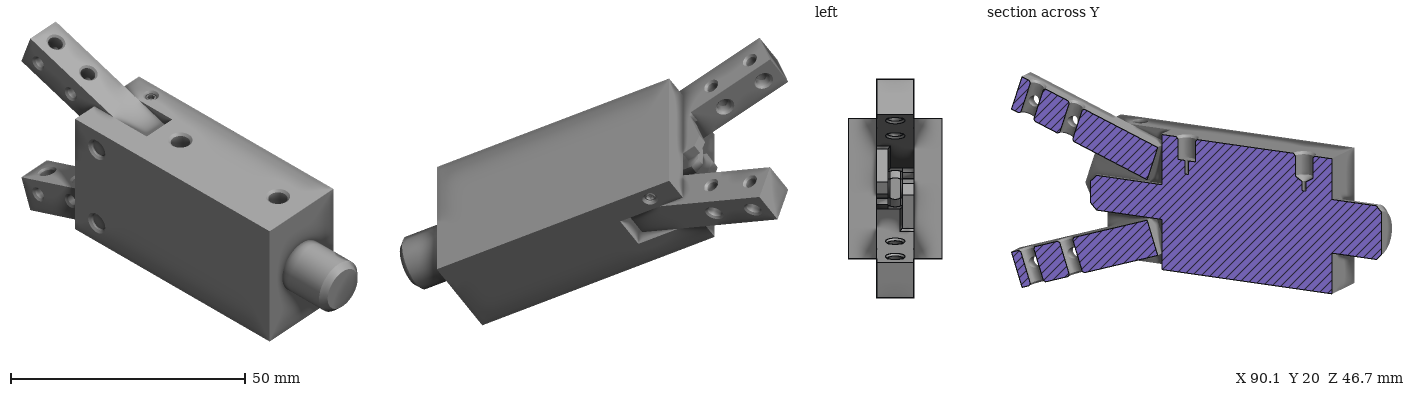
import cadquery as cq
import math

overall_length = 90.11
body_width = 20.0
body_height = 30.0
stem_length = 12.0

opening_angle = 19.0
finger_width = 8.0
finger_reach = 28.0
finger_outer = 4.5
finger_inner = 3.5
heel = 7.0
pivot_x = 6.3
pivot_z = 10.0
tab_tip = 13.5
tab_chamfer = 2.0
tab_gap = 1.5
tab_root_chamfer = 0.5
grip_hole_count = 2
grip_hole_spacing = 10.0
grip_hole_edge = 4.0

m3_core, m3_mouth = 2.46, 3.4
m4_core, m4_mouth = 3.24, 4.13
m5_core, m5_mouth = 4.13, 5.2

angle = math.radians(opening_angle)
finger_front = finger_reach * math.cos(angle) + finger_inner * math.sin(angle) - pivot_x
body_length = overall_length - finger_front - stem_length
slot_depth = 15.3

rear_port_inset = 6.9
port_spacing = 28.5
rear_port_x = body_length - rear_port_inset
front_port_x = rear_port_x - port_spacing
port_depth = 5.0
drill_point_angle = 118.0
drill_cone_depth = m5_core / 2 / math.tan(math.radians(drill_point_angle / 2))
orifice_diameter = 0.8
orifice_depth = 8.0

pivot_pin_diameter = 4.0
pivot_pin_mouth = 5.0
pivot_pin_recess = 0.8
pivot_pin_chamfer = 0.25
pivot_pin_end = 2.0
lock_screw_y = 7.0
lock_screw_recess = 0.5
lock_screw_chamfer = 0.25
lock_screw_length = 3.0
hex_socket_flats = 1.5
hex_socket_depth = 1.0
socket_tip_depth = 0.5

rod_diameter = 7.8
rod_protrusion = 2.15
rod_shoulder_x = 13.0
rod_tip_chamfer = 1.6
tongue_thickness = 2.2
cross_pin_diameter = 4.0
cross_pin_offset = pivot_z / math.cos(angle)

stem_diameter = 12.0
stem_chamfer = 1.3


def countersunk_tool(core, mouth, depth, bottom_cone=0.0):
    """Cutter for a hole entering at the origin and running towards -Z, with a 45 degree mouth."""
    sink = (mouth - core) / 2
    profile = (
        cq.Workplane("XZ")
        .lineTo(mouth / 2, 0)
        .lineTo(core / 2, -sink)
        .lineTo(core / 2, -depth)
        .lineTo(0, -depth - bottom_cone)
        .close()
    )
    return profile.revolve(360, (0, 0, 0), (0, 1, 0))


def double_countersunk_tool(core, mouth, length):
    """Cutter for a through hole along Z, centred on the origin and countersunk at both ends."""
    half = countersunk_tool(core, mouth, length / 2).translate((0, 0, length / 2))
    return half.union(half.mirror("XY"))


def make_body():
    body = cq.Workplane("XY").box(body_length, body_width, body_height, centered=(False, True, True))
    slot = cq.Workplane("XY").box(slot_depth, finger_width, body_height, centered=(False, True, True))
    return body.cut(slot)


def make_stem():
    stem = cq.Workplane("YZ", origin=(body_length, 0, 0)).circle(stem_diameter / 2).extrude(stem_length)
    return stem.faces(">X").chamfer(stem_chamfer)


def cut_ports(body):
    """The front port has a flat bottom, the rear one a drill point; both open into an orifice."""
    for x, bottom_cone in ((front_port_x, 0.0), (rear_port_x, drill_cone_depth)):
        port = countersunk_tool(m5_core, m5_mouth, port_depth, bottom_cone)
        orifice = cq.Workplane("XY").circle(orifice_diameter / 2).extrude(-orifice_depth)
        body = body.cut(port.union(orifice).translate((x, 0, body_height / 2)))
    return body


def recessed_insert(body, core, mouth, recess, insert, place):
    """Countersink a hole and seat an insert in it; the insert is built with its top at the origin."""
    length = insert.val().BoundingBox().zlen
    hole = countersunk_tool(core, mouth, recess + length)
    return body.cut(place(hole)).union(place(insert.translate((0, 0, -recess))))


def add_pivot_pins(body):
    """Chamfered pin ends sit below the -Y face at both finger pivots."""
    pin_end = cq.Workplane("XY").circle(pivot_pin_diameter / 2).extrude(-pivot_pin_end)
    pin_end = pin_end.faces(">Z").chamfer(pivot_pin_chamfer)
    for z in (pivot_z, -pivot_z):
        body = recessed_insert(
            body, pivot_pin_diameter, pivot_pin_mouth, pivot_pin_recess, pin_end,
            lambda tool: tool.rotate((0, 0, 0), (1, 0, 0), 90).translate((pivot_x, -body_width / 2, z)),
        )
    return body


def add_lock_screws(body):
    """Hexagon socket set screws above and below the pivots clamp the pins."""
    socket_circle = hex_socket_flats / math.cos(math.pi / 6)
    socket = cq.Workplane("XY").polygon(6, socket_circle).extrude(-hex_socket_depth)
    socket_tip = cq.Solid.makeCone(hex_socket_flats / 2, 0, socket_tip_depth, dir=cq.Vector(0, 0, -1))
    socket = socket.union(cq.Workplane(socket_tip.translate(cq.Vector(0, 0, -hex_socket_depth))))
    screw = cq.Workplane("XY").circle(m3_core / 2).extrude(-lock_screw_length)
    screw = screw.faces(">Z").chamfer(lock_screw_chamfer).cut(socket)
    for flip in (0, 180):
        body = recessed_insert(
            body, m3_core, m3_mouth, lock_screw_recess, screw,
            lambda tool: tool.translate((0, 0, body_height / 2))
            .rotate((0, 0, 0), (1, 0, 0), flip)
            .translate((pivot_x, lock_screw_y, 0)),
        )
    return body


def make_tab():
    """Drive tab at the +Y side of a finger, forked around the cross pin."""
    outline = (
        cq.Workplane("XZ", origin=(0, finger_width / 2, 0))
        .moveTo(-heel, 0)
        .lineTo(-heel, tab_chamfer - tab_tip)
        .lineTo(tab_chamfer - heel, -tab_tip)
        .lineTo(heel - tab_chamfer, -tab_tip)
        .lineTo(heel, tab_chamfer - tab_tip)
        .lineTo(heel, 0)
        .close()
        .extrude(finger_width / 2 - tab_gap)
    )
    radius = cross_pin_diameter / 2
    fork = (
        cq.Workplane("XZ", origin=(0, finger_width / 2, 0))
        .moveTo(-radius, -tab_tip)
        .lineTo(-radius, -cross_pin_offset)
        .threePointArc((0, radius - cross_pin_offset), (radius, -cross_pin_offset))
        .lineTo(radius, -tab_tip)
        .close()
        .extrude(finger_width)
    )
    return outline.cut(fork)


def make_finger():
    """Closed finger in its local frame, before it swings open about the pivot."""
    height = finger_outer + finger_inner
    middle = (finger_outer - finger_inner) / 2
    bar = (
        cq.Workplane("XY")
        .box(finger_reach + heel, finger_width, height)
        .translate(((heel - finger_reach) / 2, 0, middle))
    )
    finger = bar.union(make_tab())
    margin = tab_gap / 2
    tab_root = cq.selectors.BoxSelector(
        (-heel - margin, tab_gap - margin, -finger_inner - margin),
        (heel - margin, finger_width / 2 - margin, -finger_inner + margin),
    )
    finger = finger.edges(tab_root).chamfer(tab_root_chamfer)
    across = double_countersunk_tool(m3_core, m3_mouth, finger_width).rotate((0, 0, 0), (1, 0, 0), 90)
    vertical = double_countersunk_tool(m4_core, m4_mouth, height).translate((0, 0, middle))
    for i in range(grip_hole_count):
        x = grip_hole_edge + i * grip_hole_spacing - finger_reach
        finger = finger.cut(across.translate((x, 0, 0))).cut(vertical.translate((x, 0, 0)))
    return finger


def make_opened_fingers():
    upper = make_finger().rotate((0, 0, 0), (0, 1, 0), opening_angle).translate((pivot_x, 0, pivot_z))
    lower = upper.rotate((0, 0, 0), (1, 0, 0), 180)
    return upper, lower


def make_piston_rod():
    """Round rod, chamfered at the tip and flattened to a tongue that carries the cross pin."""
    length = slot_depth + rod_protrusion
    rod = cq.Workplane("YZ", origin=(-rod_protrusion, 0, 0)).circle(rod_diameter / 2).extrude(length)
    rod = rod.faces("<X").chamfer(rod_tip_chamfer)
    tongue = cq.Workplane("XY").box(2 * length, tongue_thickness, rod_diameter)
    shoulder = (
        cq.Workplane("XY", origin=(rod_shoulder_x, 0, 0))
        .box(length, rod_diameter, rod_diameter, centered=(False, True, True))
    )
    rod = rod.intersect(tongue.union(shoulder))
    pin_x = pivot_x - pivot_z * math.tan(angle)
    pin = (
        cq.Workplane("XZ", origin=(pin_x, finger_width / 2, 0))
        .circle(cross_pin_diameter / 2)
        .extrude(finger_width)
    )
    return rod.union(pin)


body = cut_ports(make_body())
body = add_pivot_pins(body)
body = add_lock_screws(body)
result = body.union(make_stem()).union(make_piston_rod())
for finger in make_opened_fingers():
    result = result.union(finger)